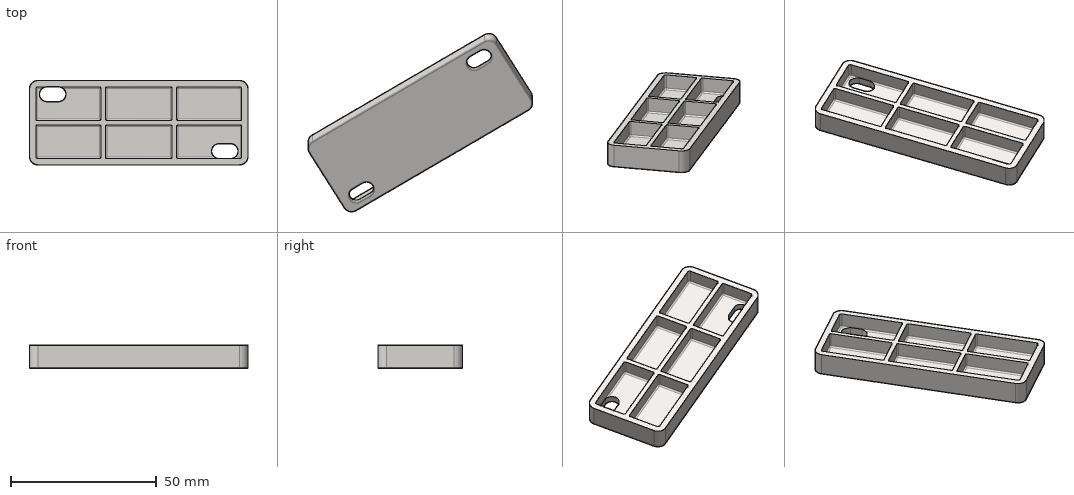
import cadquery as cq
length = 75.0
width = 29.0
height = 8.0
corner_radius = 3.0
bottom_edge_radius = 0.3

wall = 2.2
rib = 1.6
floor_thickness = 2.7
cross_rib_spacing = 24.4
rib_corner_radius = 0.5
floor_fillet = 0.5

slot_length = 9.0
slot_width = 5.0
slot_wall_gap = 0.05
slot_end_inset = 8.0

cavity_length = length - 2 * wall
cavity_width = width - 2 * wall
cavity_depth = height - floor_thickness
cavity_corner_radius = corner_radius - wall
slot_x = length / 2 - slot_end_inset
slot_y = cavity_width / 2 - slot_wall_gap - slot_width / 2


def rounded_block(size_x, size_y, size_z, radius, base_z):
    """Block centred on the Z axis with rounded vertical edges."""
    return (
        cq.Workplane("XY", origin=(0, 0, base_z))
        .rect(size_x, size_y)
        .extrude(size_z)
        .edges("|Z")
        .fillet(radius)
    )


def make_slot(side):
    """Slot at the left back (side 1) or right front (side -1) of the tray."""
    return (
        cq.Workplane("XY")
        .center(-side * slot_x, side * slot_y)
        .slot2D(slot_length, slot_width)
        .extrude(height)
    )


def make_body():
    """Solid block with its two slots; the bottom rims of the block and the slots are rounded."""
    body = rounded_block(length, width, height, corner_radius, 0)
    for side in (-1, 1):
        body = body.cut(make_slot(side))
    return body.faces("<Z").edges().fillet(bottom_edge_radius)


def make_cavity():
    """Whole space inside the outer walls, before the ribs divide it."""
    return rounded_block(cavity_length, cavity_width, cavity_depth, cavity_corner_radius, floor_thickness)


def make_pocket(column, row):
    """Pocket in column -1, 0 or 1 along X and row -1 or 1 along Y."""
    if column == 0:
        size_x = cross_rib_spacing - rib
        center_x = 0
    else:
        inner_x = (cross_rib_spacing + rib) / 2
        size_x = cavity_length / 2 - inner_x
        center_x = column * (inner_x + size_x / 2)
    size_y = (cavity_width - rib) / 2
    center_y = row * (rib + size_y) / 2

    pocket = rounded_block(size_x, size_y, cavity_depth, rib_corner_radius, floor_thickness)
    pocket = pocket.translate((center_x, center_y, 0)).intersect(make_cavity())
    return pocket.faces("<Z").edges().fillet(floor_fillet)


result = make_body()
for row in (-1, 1):
    for column in (-1, 0, 1):
        result = result.cut(make_pocket(column, row))